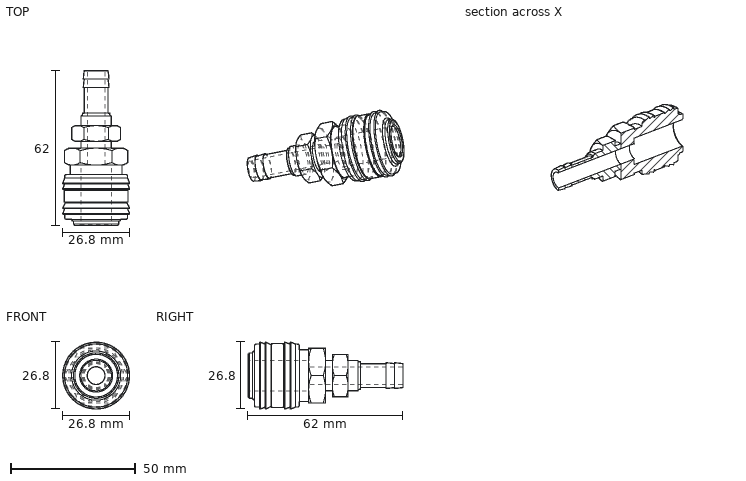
import cadquery as cq
import math


length = 62.0
sleeve_front = 2.5
sleeve_back = 20.45
coupling_hex_front = 24.2
joint = 31.0
tail_hex_front = 33.7
tail_hex_back = 40.0
tail_body_end = 43.9
collar_end = 45.0

passage_radius = 3.5

bore_radius = 6.1
bore_chamfer = 0.5
nose_radius = 9.1
nose_chamfer = 0.55
nose_round = 0.75
sleeve_radius = 12.65
sleeve_round = 0.75
neck_radius = 10.4
coupling_hex_flats = 22.0

ridge_radius = 13.4
ridge_round = 0.35
ridge_pitch = 2.25
front_ridge_y = 4.5
rear_ridge_y = 14.45
rear_flank_length = 2.3
band_radius = 12.85
band_front = 9.4
band_back = 14.1
groove_radius = 12.4
groove_width = 0.3

tail_body_radius = 6.1
collar_radius = 5.55
collar_fillet = tail_body_radius - collar_radius
shank_radius = 4.8
barb_radius = 5.2
barb_pitch = 3.4
barb_count = 2
barb_bulge = 0.05
tail_hex_flats = 17.0

hex_sides = 6
hex_chamfer_angle = 30.0

diagonal = math.sqrt(0.5)


def revolve_about_y(profile):
    return profile.close().revolve(360, (0, 0, 0), (0, 1, 0))


def cylinder(radius, start, end):
    """Solid cylinder on the Y axis between two stations."""
    return cq.Workplane("XZ").workplane(offset=-start).circle(radius).extrude(start - end)


def chamfered_hex(flats, start, end):
    """Hexagon with corners on +X and -X, its corners turned off by a cone at both ends."""
    flat_radius = flats / 2
    corner_radius = flat_radius / math.cos(math.pi / hex_sides)
    cut = (corner_radius - flat_radius) * math.tan(math.radians(hex_chamfer_angle))
    prism = (
        cq.Workplane("XZ").workplane(offset=-start)
        .polygon(hex_sides, 2 * corner_radius).extrude(start - end)
    )
    turned_blank = revolve_about_y(
        cq.Workplane("XY")
        .moveTo(0, start)
        .lineTo(flat_radius, start)
        .lineTo(corner_radius, start + cut)
        .lineTo(corner_radius, end - cut)
        .lineTo(flat_radius, end)
        .lineTo(0, end)
    )
    return prism.intersect(turned_blank)


def add_ridge(profile, front, root_radius, root_y):
    """Continue the sleeve outline over one ridge: flat front, round crest, cone to its root."""
    round_center = ridge_radius - ridge_round
    round_end = front + ridge_round
    return (
        profile.lineTo(round_center, front)
        .threePointArc(
            (round_center + ridge_round * diagonal, round_end - ridge_round * diagonal),
            (ridge_radius, round_end),
        )
        .lineTo(root_radius, root_y)
    )


def make_nose_and_sleeve():
    sleeve_round_center = sleeve_radius - sleeve_round
    front_center_y = sleeve_front + sleeve_round
    back_center_y = sleeve_back - sleeve_round
    nose_shoulder_y = sleeve_front - nose_round

    profile = (
        cq.Workplane("XY")
        .moveTo(0, 0)
        .lineTo(nose_radius - nose_chamfer, 0)
        .lineTo(nose_radius, nose_chamfer)
        .lineTo(nose_radius, nose_shoulder_y)
        .threePointArc(
            (nose_radius + nose_round * diagonal, sleeve_front - nose_round * diagonal),
            (nose_radius + nose_round, sleeve_front),
        )
        .lineTo(sleeve_round_center, sleeve_front)
        .threePointArc(
            (sleeve_round_center + sleeve_round * diagonal, front_center_y - sleeve_round * diagonal),
            (sleeve_radius, front_center_y),
        )
        .lineTo(sleeve_radius, front_ridge_y)
    )

    second_ridge_y = front_ridge_y + ridge_pitch
    last_ridge_y = rear_ridge_y + ridge_pitch
    profile = add_ridge(profile, front_ridge_y, sleeve_radius, second_ridge_y)
    profile = add_ridge(profile, second_ridge_y, groove_radius, band_front - groove_width)
    profile = (
        profile.lineTo(groove_radius, band_front)
        .lineTo(band_radius, band_front)
        .lineTo(band_radius, band_back)
        .lineTo(groove_radius, band_back)
        .lineTo(groove_radius, rear_ridge_y)
    )
    profile = add_ridge(profile, rear_ridge_y, sleeve_radius, last_ridge_y)
    profile = add_ridge(profile, last_ridge_y, sleeve_radius, last_ridge_y + rear_flank_length)

    profile = (
        profile.lineTo(sleeve_radius, back_center_y)
        .threePointArc(
            (sleeve_round_center + sleeve_round * diagonal, back_center_y + sleeve_round * diagonal),
            (sleeve_round_center, sleeve_back),
        )
        .lineTo(0, sleeve_back)
    )
    return revolve_about_y(profile)


def make_coupling_bore():
    """Wide chamfered plug bore up to the hexagon, then the narrow passage."""
    return revolve_about_y(
        cq.Workplane("XY")
        .moveTo(0, 0)
        .lineTo(bore_radius + bore_chamfer, 0)
        .lineTo(bore_radius, bore_chamfer)
        .lineTo(bore_radius, coupling_hex_front)
        .lineTo(passage_radius, coupling_hex_front)
        .lineTo(passage_radius, joint)
        .lineTo(0, joint)
    )


def make_coupling():
    body = make_nose_and_sleeve()
    body = body.union(cylinder(neck_radius, sleeve_back, coupling_hex_front))
    body = body.union(chamfered_hex(coupling_hex_flats, coupling_hex_front, joint))
    return body.cut(make_coupling_bore())


def make_tail_stem():
    """Turned outline of the hose tail: body, filleted collar, shank and barbs."""
    fillet_start = tail_body_end
    fillet_end = fillet_start + collar_fillet
    fillet_sag = collar_fillet * (1 - diagonal)
    profile = (
        cq.Workplane("XY")
        .moveTo(0, joint)
        .lineTo(tail_body_radius, joint)
        .lineTo(tail_body_radius, fillet_start)
        .threePointArc(
            (collar_radius + fillet_sag, fillet_start + fillet_sag),
            (collar_radius, fillet_end),
        )
        .lineTo(collar_radius, collar_end)
        .lineTo(shank_radius, collar_end)
    )
    barb_middle = (shank_radius + barb_radius) / 2 + barb_bulge
    profile = profile.lineTo(shank_radius, length - barb_count * barb_pitch)
    for remaining in range(barb_count, 0, -1):
        barb_start = length - remaining * barb_pitch
        profile = (
            profile.lineTo(barb_radius, barb_start)
            .threePointArc(
                (barb_middle, barb_start + barb_pitch / 2),
                (shank_radius, barb_start + barb_pitch),
            )
        )
    return revolve_about_y(profile.lineTo(0, length))


def make_hose_tail():
    body = make_tail_stem()
    body = body.union(chamfered_hex(tail_hex_flats, tail_hex_front, tail_hex_back))
    return body.cut(cylinder(passage_radius, joint, length))


coupling = make_coupling()
hose_tail = make_hose_tail()

result = cq.Compound.makeCompound([coupling.val(), hose_tail.val()])